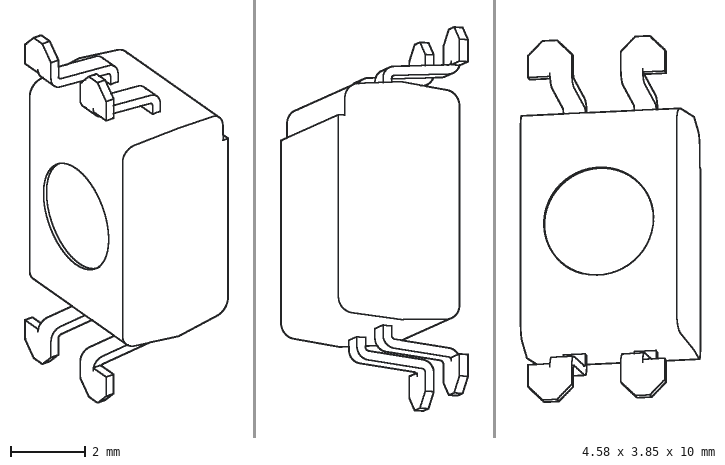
import cadquery as cq
import math


housing_width = 4.58
housing_length = 6.5
housing_depth = 3.5
face_inset = 0.15
edge_radius = 0.42
step_depth = 0.18
step_bottom_z = 2.26
marker_diameter = 3.0
marker_depth = 0.1

half_depth = housing_depth / 2
ridge_z = housing_length / 2
draft_angle = math.degrees(math.atan(face_inset / half_depth))

overall_length = 10.0
lead_thickness = 0.25
strip_width = 0.6
arm_angle = 5.0
bend_inner_radius = 0.1
standoff = 0.1
foot_width = 1.2
foot_length = 1.0
foot_pitch = 2.54
tip_chamfer = 0.4
foot_bend_rise = 0.09

half_thickness = lead_thickness / 2
bend_outer_radius = bend_inner_radius + lead_thickness
foot_back_y = -half_depth - standoff
foot_front_y = foot_back_y - lead_thickness
tip_z = overall_length / 2
foot_base_z = tip_z - foot_length
foot_bend_z = foot_base_z + foot_bend_rise
foot_inner_x = (foot_pitch - foot_width) / 2
foot_outer_x = foot_inner_x + foot_width
strip_outer_x = foot_inner_x + strip_width


def make_housing():
    """Block that narrows from the parting plane towards the front and back faces."""
    parting_plane = cq.Workplane("XZ").rect(housing_width, housing_length)
    front_half = parting_plane.extrude(half_depth, taper=draft_angle)
    back_half = front_half.mirror("XZ")
    body = front_half.union(back_half)

    step_floor_y = half_depth - step_depth
    step = cq.Workplane("XY").box(
        housing_width, step_depth, ridge_z - step_bottom_z, centered=(True, False, False)
    ).translate((0, step_floor_y, step_bottom_z))
    body = body.cut(step)

    body = body.faces("<Y").edges("|X").fillet(edge_radius)
    body = body.faces(">Y").edges("<Z").fillet(edge_radius)
    step_edge = cq.NearestToPointSelector((0, step_floor_y, ridge_z - face_inset))
    body = body.edges("|X").edges(step_edge).fillet(edge_radius)

    marker = cq.Workplane("XZ", origin=(0, -half_depth, 0)).circle(marker_diameter / 2).extrude(-marker_depth)
    return body.cut(marker)


def bend_point(center, radius, degrees):
    """Point on a bend in the YZ plane, with the angle measured from +Y towards +Z."""
    angle = math.radians(degrees)
    return (center[0] + radius * math.cos(angle), center[1] + radius * math.sin(angle))


def make_strip():
    """Bent strip from the housing ridge to the foot, at the +X, +Z corner."""
    foot_bend = (foot_back_y + bend_inner_radius, foot_bend_z)
    root_y = -half_thickness - bend_inner_radius

    tilt = math.radians(arm_angle)
    bend_spacing = bend_inner_radius + bend_outer_radius
    root_drop = (bend_spacing + (root_y - foot_bend[0]) * math.sin(tilt)) / math.cos(tilt)
    root_bend = (root_y, foot_bend_z - root_drop)

    end_z = ridge_z - half_thickness * face_inset / half_depth

    arm_normal = 90 - arm_angle
    root_middle = arm_normal / 2
    foot_start = 180 + arm_normal
    foot_middle = 180 + root_middle
    profile = (
        cq.Workplane("YZ", origin=(foot_inner_x, 0, 0))
        .moveTo(0, ridge_z)
        .lineTo(half_thickness, end_z)
        .lineTo(*bend_point(root_bend, bend_outer_radius, 0))
        .threePointArc(
            bend_point(root_bend, bend_outer_radius, root_middle),
            bend_point(root_bend, bend_outer_radius, arm_normal),
        )
        .lineTo(*bend_point(foot_bend, bend_inner_radius, foot_start))
        .threePointArc(
            bend_point(foot_bend, bend_inner_radius, foot_middle),
            bend_point(foot_bend, bend_inner_radius, 180),
        )
        .lineTo(foot_front_y, foot_bend_z)
        .threePointArc(
            bend_point(foot_bend, bend_outer_radius, foot_middle),
            bend_point(foot_bend, bend_outer_radius, foot_start),
        )
        .lineTo(*bend_point(root_bend, bend_inner_radius, arm_normal))
        .threePointArc(
            bend_point(root_bend, bend_inner_radius, root_middle),
            bend_point(root_bend, bend_inner_radius, 0),
        )
        .lineTo(-half_thickness, end_z)
        .close()
    )
    return profile.extrude(strip_width)


def make_foot():
    """Flat foot with a chamfered tip, wider than the strip on its outer side."""
    shoulder_z = tip_z - tip_chamfer
    outline = [
        (foot_inner_x, foot_bend_z),
        (foot_inner_x, shoulder_z),
        (foot_inner_x + tip_chamfer, tip_z),
        (foot_outer_x - tip_chamfer, tip_z),
        (foot_outer_x, shoulder_z),
        (foot_outer_x, foot_base_z),
        (strip_outer_x, foot_base_z),
        (strip_outer_x, foot_bend_z),
    ]
    return cq.Workplane("XZ", origin=(0, foot_back_y, 0)).polyline(outline).close().extrude(lead_thickness)


def make_lead(mirror_x, mirror_z):
    """One lead, mirrored from the +X, +Z corner to the wanted corner."""
    lead = make_strip().union(make_foot())
    if mirror_x:
        lead = lead.mirror("YZ")
    if mirror_z:
        lead = lead.mirror("XY")
    return lead


housing = make_housing()

leads = []
for mirror_x in (False, True):
    for mirror_z in (False, True):
        leads.append(make_lead(mirror_x, mirror_z).val())

result = cq.Compound.makeCompound([housing.val(), *leads])